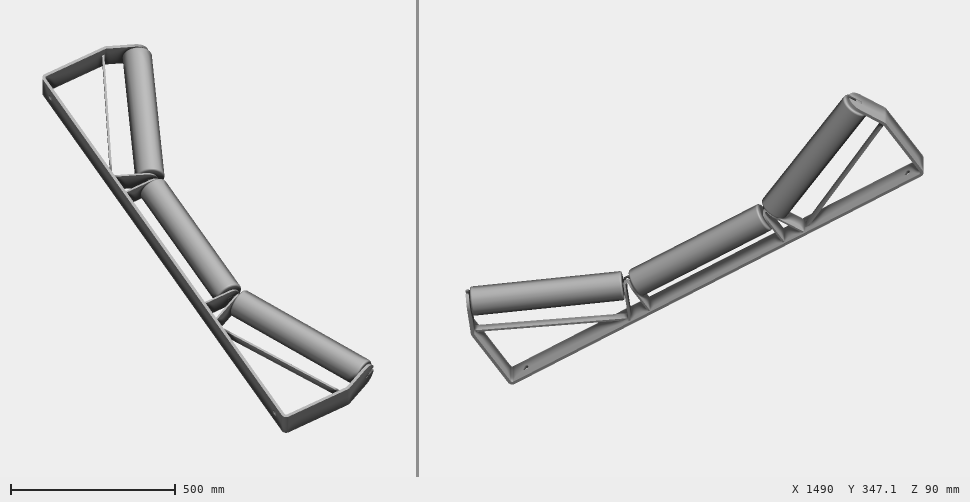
import cadquery as cq
import math

PLATE = 9.5
PLATE_WIDTH = 80.0
BEND_RADIUS = 10.0
LEAN_RADIUS = 18.0
TILT = 25.0

FRAME_LENGTH = 1490.0
UPRIGHT_BEND_Y = 225.0
WING_LENGTH = 131.0
HOLE_DIAMETER = 20.0
HOLE_X = 685.0

STRUT_WIDTH = 27.0
STRUT_RISE = 7.0
STRUT_HEAD_Y = 215.0
STRUT_FOOT_X = 328.0

BRACKET_PLATE = 6.0
BRACKET_WIDTH = 65.0
BRACKET_BEND_RADIUS = 9.0
POST_X = 241.0
POST_BEND_Y = 119.0

ROLLER_DIAMETER = 90.0
ROLLER_LENGTH = 465.0
ROLLER_EDGE_RADIUS = 6.0
CENTER_ROLLER_Y = 100.0
SIDE_ROLLER_X = 481.0
SIDE_ROLLER_Y = 210.0
SHAFT_LENGTH = 490.0
SHAFT_DIAMETER = 20.0
SHAFT_FLATS = 13.0

SLOT_REACH = 80.0
SIDE_SLOT_LENGTH = 525.0

tilt_sin = math.sin(math.radians(TILT))
tilt_cos = math.cos(math.radians(TILT))
upright_x = (FRAME_LENGTH - PLATE) / 2
shaft_radius = SHAFT_DIAMETER / 2
SIDES = (-1, 1)


def mirror_to(side, body):
    """Return the +X body itself, or its mirror image on the -X side."""
    return body if side > 0 else body.mirror("YZ")


def sweep_plate(path, start, direction, thickness, width):
    """Sweep the plate section along a path that starts at the given XY point."""
    section = cq.Workplane(cq.Plane((*start, 0), (0, 0, 1), direction))
    return section.rect(width, thickness).sweep(path)


def tip_waste(length, width):
    """Material outside a half-round plate tip that points to +Y and ends at the origin."""
    corners = cq.Workplane("YZ").center(-width / 4, 0).rect(width / 2, width)
    block = corners.extrude(length / 2, both=True)
    round_tip = cq.Workplane("YZ").center(-width / 2, 0).circle(width / 2)
    return block.cut(round_tip.extrude(length / 2, both=True))


def shaft_slot(length):
    """Slot along X for a shaft centred on the origin, open towards +Y."""
    slot = cq.Workplane("YZ").center((SLOT_REACH - shaft_radius) / 2, 0)
    return slot.rect(SLOT_REACH + shaft_radius, SHAFT_FLATS).extrude(length / 2, both=True)


def place_side(body, x, y):
    """Tilt a body like the +X side roller and move it to the given point."""
    return body.rotate((0, 0, 0), (0, 0, 1), TILT).translate((x, y, 0))


def half_strip():
    """+X half of the bent frame strip: base, upright and inward-leaning wing."""
    base_y = PLATE / 2
    lean_trim = LEAN_RADIUS * math.tan(math.radians(TILT / 2))
    lean_y = UPRIGHT_BEND_Y - lean_trim
    wing_tip = (upright_x - WING_LENGTH * tilt_sin, UPRIGHT_BEND_Y + WING_LENGTH * tilt_cos)
    path = (
        cq.Workplane("XY")
        .moveTo(0, base_y)
        .lineTo(upright_x - BEND_RADIUS, base_y)
        .tangentArcPoint((upright_x, base_y + BEND_RADIUS), relative=False)
        .lineTo(upright_x, lean_y)
        .tangentArcPoint(
            (upright_x - lean_trim * tilt_sin, UPRIGHT_BEND_Y + lean_trim * tilt_cos), relative=False
        )
        .lineTo(*wing_tip)
    )
    strip = sweep_plate(path, (0, base_y), (1, 0, 0), PLATE, PLATE_WIDTH)
    strip = strip.cut(place_side(tip_waste(2 * PLATE, PLATE_WIDTH), *wing_tip))
    hole = cq.Workplane("XZ").center(HOLE_X, 0).circle(HOLE_DIAMETER / 2).extrude(-PLATE)
    return strip.cut(hole)


def strut():
    """Slanted brace from the +X upright down to the base."""
    head_x = upright_x - PLATE / 2
    slope = (STRUT_HEAD_Y - PLATE) / (head_x - STRUT_FOOT_X)
    foot_half = STRUT_RISE / 2 / slope
    outline = [
        (STRUT_FOOT_X - foot_half, PLATE),
        (STRUT_FOOT_X + foot_half, PLATE),
        (head_x, STRUT_HEAD_Y - STRUT_RISE / 2),
        (head_x, STRUT_HEAD_Y + STRUT_RISE / 2),
    ]
    return cq.Workplane("XY").polyline(outline).close().extrude(STRUT_WIDTH / 2, both=True)


def bracket():
    """Inverted V on the +X side: straight post, tight bend and leg square to the side roller."""
    bend_x = POST_X + BRACKET_BEND_RADIUS
    leg_top = (bend_x + BRACKET_BEND_RADIUS * tilt_cos, POST_BEND_Y + BRACKET_BEND_RADIUS * tilt_sin)
    leg_foot = (leg_top[0] + leg_top[1] * tilt_sin / tilt_cos, 0)
    path = (
        cq.Workplane("XY")
        .moveTo(POST_X, 0)
        .lineTo(POST_X, POST_BEND_Y)
        .tangentArcPoint(leg_top, relative=False)
        .lineTo(*leg_foot)
    )
    top_y = POST_BEND_Y + BRACKET_BEND_RADIUS + BRACKET_PLATE / 2
    plate = sweep_plate(path, (POST_X, 0), (0, 1, 0), BRACKET_PLATE, BRACKET_WIDTH)
    base_space = cq.Workplane("XY").box(FRAME_LENGTH, 2 * PLATE, 2 * PLATE_WIDTH)
    return plate.cut(base_space).cut(tip_waste(FRAME_LENGTH, BRACKET_WIDTH).translate((0, top_y, 0)))


def make_frame():
    """Welded frame: bent strip, struts and brackets, slotted for the roller shafts."""
    frame = half_strip().union(half_strip().mirror("YZ"))
    side_slot = place_side(shaft_slot(SIDE_SLOT_LENGTH), SIDE_ROLLER_X, SIDE_ROLLER_Y)
    for side in SIDES:
        frame = frame.union(mirror_to(side, strut()))
        frame = frame.union(mirror_to(side, bracket()))
        frame = frame.cut(mirror_to(side, side_slot))
    return frame.cut(shaft_slot(SHAFT_LENGTH).translate((0, CENTER_ROLLER_Y, 0)))


def make_roller():
    """Roller along X with rounded rims and a flatted shaft end on both sides."""
    barrel = cq.Workplane("YZ").circle(ROLLER_DIAMETER / 2).extrude(ROLLER_LENGTH)
    barrel = barrel.translate((-ROLLER_LENGTH / 2, 0, 0))
    barrel = barrel.faces("<X or >X").edges().fillet(ROLLER_EDGE_RADIUS)
    shaft = cq.Workplane("YZ").circle(shaft_radius).extrude(SHAFT_LENGTH / 2, both=True)
    flats = cq.Workplane("XY").box(SHAFT_LENGTH, SHAFT_DIAMETER, SHAFT_FLATS)
    return barrel.union(shaft.intersect(flats))


frame = make_frame()
center_roller = make_roller().translate((0, CENTER_ROLLER_Y, 0))
tilted_roller = place_side(make_roller(), SIDE_ROLLER_X, SIDE_ROLLER_Y)
side_rollers = [mirror_to(side, tilted_roller) for side in SIDES]

result = cq.Compound.makeCompound([
    frame.val(),
    center_roller.val(),
    *[roller.val() for roller in side_rollers],
])